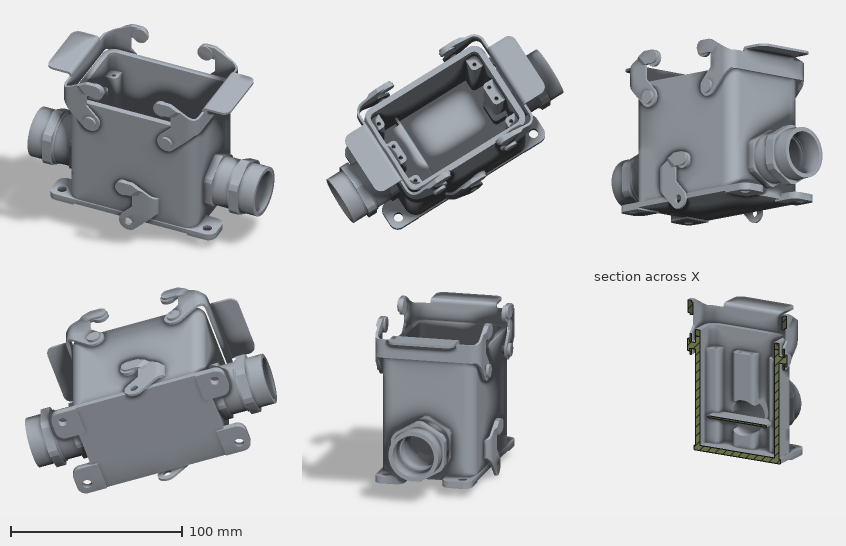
import cadquery as cq
import math

BOX_LENGTH = 81.5
BOX_WIDTH = 56.7
BOX_CORNER_RADIUS = 7.1
WALL = 3.5
BOX_TOP = 70.9
RIM_HEIGHT = 3.9
CAVITY_LENGTH = BOX_LENGTH - 2 * WALL
CAVITY_WIDTH = BOX_WIDTH - 2 * WALL
CAVITY_CORNER_RADIUS = BOX_CORNER_RADIUS - WALL

BASE_TOP = 4.0
BASE_UNDERSIDE = 1.0
BASE_WIDTH = 58.5
FLOOR_TOP = BASE_UNDERSIDE + WALL
FOOT_OUTER_X = 53.0
FOOT_INNER_X = 36.5
FOOT_INNER_Y = 11.5
FOOT_CORNER_RADIUS = 5.2
FOOT_HOLE_DIAMETER = 5.5
FOOT_HOLE_X = 46.7
FOOT_HOLE_Y = 22.9

POST_TOP = 61.9
POST_INNER_X = 30.0
POST_EDGE_RADIUS = 2.5
CORNER_POST_INNER_Y = 16.8
MIDDLE_POST_WIDTH = 14.5
POST_HOLE_DIAMETER = 2.5
POST_HOLE_DEPTH = 8.7
POST_HOLE_X = 33.0
CORNER_HOLE_Y = 20.0
MIDDLE_HOLE_Y = 3.9

GLAND_AXIS_Z = 22.9
GLAND_END_X = 72.5
OUTER_SLEEVE_DIAMETER = 30.0
OUTER_HEX_START_X = 57.1
OUTER_HEX_END_X = 62.6
OUTER_HEX_FLATS = 32.0
OUTER_HEX_CORNERS = 35.1
COLLAR_START_X = 55.8
COLLAR_DIAMETER = 31.0
INNER_SLEEVE_DIAMETER = 29.6
INNER_HEX_END_X = 45.8
INNER_HEX_FLATS = 30.3
INNER_HEX_CORNERS = 33.6
BORE_DIAMETER = 21.8
SEAT_DIAMETER = 24.2
SEAT_START_X = 59.2
MOUTH_DIAMETER = 25.0
MOUTH_START_X = 60.2

LEVER_HALF_WIDTH = 32.0
LEVER_THICKNESS = 1.5
LEVER_BEND_RADIUS = 6.2
LEVER_OUTER_X = 18.8
EYE_RADIUS = 6.0
BAND_BOTTOM_Z = 8.7
BAND_TOP_Z = 19.6
SLOPE_TOP_X = 2.3
SLOPE_BOTTOM_X = 16.8
STEM_LEFT_X = 2.6
HOOK_HEIGHT = 8.0
HOOK_CENTRE_X = -3.6
HOOK_TOP_Z = BAND_TOP_Z + HOOK_HEIGHT
HOOK_RADIUS = HOOK_HEIGHT / 2
PAD_THICKNESS = 1.3
PAD_RAMP_LENGTH = 2.5
PAD_BASE_X = 5.1
CATCH_DIAMETER = 9.5
CATCH_CENTRE_Z = 22.6
CATCH_INNER_Y = 29.9
TAB_TOP_Z = 22.6
TAB_END_X = 34.1
TAB_WIDTH = 39.7
TAB_CORNER_RADIUS = 4.8
TAB_BEND_INNER_RADIUS = 0.9

PIVOT_X = 24.5
PIVOT_Z = 64.7
SPARE_PIVOT_Z = 0.9
RIVET_DIAMETER = 5.0
RIVET_HEAD_DIAMETER = 8.0
RIVET_HEAD_END_Y = 33.71

SIDES = (-1, 1)


def block(x_min, x_max, y_min, y_max, z_min, z_max):
    """Box between the given limits."""
    size = (x_max - x_min, y_max - y_min, z_max - z_min)
    return cq.Workplane("XY").box(*size, centered=False).translate((x_min, y_min, z_min))


def rounded_block(length, width, radius, z_min, z_max):
    """Upright block centred on the Z axis, with rounded vertical edges."""
    blank = block(-length / 2, length / 2, -width / 2, width / 2, z_min, z_max)
    return blank.edges("|Z").fillet(radius)


def x_cylinder(diameter, x_min, x_max):
    """Cylinder on the gland axis."""
    plane = cq.Workplane("YZ", origin=(x_min, 0, GLAND_AXIS_Z))
    return plane.circle(diameter / 2).extrude(x_max - x_min)


def y_cylinder(diameter, x, z, y_min, y_max):
    """Cylinder parallel to Y; the XZ workplane faces -Y, so it is extruded backward."""
    plane = cq.Workplane("XZ", origin=(x, y_min, z))
    return plane.circle(diameter / 2).extrude(y_min - y_max)


def both_x(shape):
    """Shape joined with its mirror image across the YZ plane."""
    return shape.union(shape.mirror("YZ"))


def both_y(shape):
    """Shape joined with its mirror image across the XZ plane."""
    return shape.union(shape.mirror("XZ"))


def lever_side_profile():
    """Side outline of the lever, extruded across its whole width."""
    tangent = EYE_RADIUS * math.sqrt(0.5)
    diagonal_offset = 2 * tangent
    outline = (
        cq.Workplane("XZ", origin=(0, LEVER_HALF_WIDTH, 0))
        .moveTo(HOOK_CENTRE_X, BAND_TOP_Z)
        .lineTo(STEM_LEFT_X, BAND_TOP_Z)
        .lineTo(STEM_LEFT_X, STEM_LEFT_X + diagonal_offset)
        .lineTo(-tangent, tangent)
        .threePointArc((-tangent, -tangent), (tangent, -tangent))
        .lineTo(BAND_BOTTOM_Z + diagonal_offset, BAND_BOTTOM_Z)
        .lineTo(LEVER_OUTER_X, BAND_BOTTOM_Z)
        .lineTo(LEVER_OUTER_X, BAND_TOP_Z)
        .lineTo(SLOPE_BOTTOM_X, BAND_TOP_Z)
        .lineTo(SLOPE_TOP_X, HOOK_TOP_Z)
        .lineTo(HOOK_CENTRE_X, HOOK_TOP_Z)
        .threePointArc(
            (HOOK_CENTRE_X - HOOK_RADIUS, HOOK_TOP_Z - HOOK_RADIUS),
            (HOOK_CENTRE_X, BAND_TOP_Z),
        )
        .close()
    )
    return outline.extrude(2 * LEVER_HALF_WIDTH)


def lever_strap():
    """U-shaped strap of constant thickness, open toward -X, cut to the side outline."""
    open_end_x = HOOK_CENTRE_X - 2 * HOOK_RADIUS
    inner_x = LEVER_OUTER_X - LEVER_THICKNESS
    inner_half_width = LEVER_HALF_WIDTH - LEVER_THICKNESS
    bottom, top = -EYE_RADIUS, HOOK_TOP_Z
    outside = block(open_end_x, LEVER_OUTER_X, -LEVER_HALF_WIDTH, LEVER_HALF_WIDTH, bottom, top)
    outside = outside.edges("|Z and >X").fillet(LEVER_BEND_RADIUS)
    inside = block(open_end_x, inner_x, -inner_half_width, inner_half_width, bottom, top)
    inside = inside.edges("|Z and >X").fillet(LEVER_BEND_RADIUS - LEVER_THICKNESS)
    return outside.cut(inside).intersect(lever_side_profile())


def hook_pad():
    """Outer layer on the +Y hook, ending in a ramp along a 45 degree line."""
    outline = (
        cq.Workplane("XZ", origin=(0, LEVER_HALF_WIDTH, 0))
        .moveTo(HOOK_CENTRE_X, BAND_TOP_Z)
        .lineTo(SLOPE_BOTTOM_X, BAND_TOP_Z)
        .lineTo(SLOPE_TOP_X, HOOK_TOP_Z)
        .lineTo(HOOK_CENTRE_X, HOOK_TOP_Z)
        .threePointArc(
            (HOOK_CENTRE_X - HOOK_RADIUS, HOOK_TOP_Z - HOOK_RADIUS),
            (HOOK_CENTRE_X, BAND_TOP_Z),
        )
        .close()
        .extrude(-PAD_THICKNESS)
    )
    ramp_plane = cq.Plane(
        origin=(PAD_BASE_X, LEVER_HALF_WIDTH, BAND_TOP_Z), xDir=(1, 0, -1), normal=(1, 0, 1)
    )
    reach = SLOPE_BOTTOM_X
    beyond_ramp = (
        cq.Workplane(ramp_plane)
        .polyline([(0, 0), (reach, 0), (reach, PAD_THICKNESS), (-PAD_RAMP_LENGTH, PAD_THICKNESS)])
        .close()
        .extrude(reach, both=True)
    )
    return outline.cut(beyond_ramp)


def lever_tab():
    """Finger tab, joined to the band by a quarter bend."""
    bend_outer_radius = TAB_BEND_INNER_RADIUS + LEVER_THICKNESS
    bend_x = LEVER_OUTER_X + TAB_BEND_INNER_RADIUS
    bend_z = TAB_TOP_Z - bend_outer_radius
    inner_x = LEVER_OUTER_X - LEVER_THICKNESS
    tab_bottom_z = TAB_TOP_Z - LEVER_THICKNESS
    diagonal = math.sqrt(0.5)
    tab = (
        cq.Workplane("XZ", origin=(0, TAB_WIDTH / 2, 0))
        .moveTo(inner_x, BAND_TOP_Z)
        .lineTo(inner_x, bend_z)
        .threePointArc(
            (bend_x - bend_outer_radius * diagonal, bend_z + bend_outer_radius * diagonal),
            (bend_x, TAB_TOP_Z),
        )
        .lineTo(TAB_END_X, TAB_TOP_Z)
        .lineTo(TAB_END_X, tab_bottom_z)
        .lineTo(bend_x, tab_bottom_z)
        .threePointArc(
            (bend_x - TAB_BEND_INNER_RADIUS * diagonal, bend_z + TAB_BEND_INNER_RADIUS * diagonal),
            (LEVER_OUTER_X, bend_z),
        )
        .lineTo(LEVER_OUTER_X, BAND_TOP_Z)
        .close()
        .extrude(TAB_WIDTH)
    )
    return tab.edges("|Z and >X").fillet(TAB_CORNER_RADIUS)


def make_lever():
    """Complete lever with its pivot at the origin."""
    catch = y_cylinder(CATCH_DIAMETER, HOOK_CENTRE_X, CATCH_CENTRE_Z, CATCH_INNER_Y, LEVER_HALF_WIDTH)
    lever = lever_strap().union(both_y(hook_pad())).union(both_y(catch)).union(lever_tab())
    return lever.cut(y_cylinder(RIVET_DIAMETER, 0, 0, -LEVER_HALF_WIDTH, LEVER_HALF_WIDTH))


def place_lever(x, z, turn):
    """Copy of the lever, turned about Z and moved to its pivot."""
    return make_lever().rotate((0, 0, 0), (0, 0, 1), turn).translate((x, 0, z))


def base_plate():
    """Raised middle plate with four drilled feet."""
    middle = block(
        -FOOT_INNER_X, FOOT_INNER_X, -BASE_WIDTH / 2, BASE_WIDTH / 2, BASE_UNDERSIDE, BASE_TOP
    )
    foot = block(FOOT_INNER_X, FOOT_OUTER_X, FOOT_INNER_Y, BASE_WIDTH / 2, 0, BASE_TOP)
    foot = foot.edges("|Z and >X").fillet(FOOT_CORNER_RADIUS)
    hole = cq.Workplane("XY").center(FOOT_HOLE_X, FOOT_HOLE_Y).circle(FOOT_HOLE_DIAMETER / 2)
    foot = foot.cut(hole.extrude(BASE_TOP))
    return middle.union(both_x(both_y(foot)))


def screw_posts():
    """Drilled posts on the +X end wall: one in each corner and a double one between them."""
    wall_x = (CAVITY_LENGTH + WALL) / 2
    wall_y = (CAVITY_WIDTH + WALL) / 2
    half_middle = MIDDLE_POST_WIDTH / 2
    corner = block(POST_INNER_X, wall_x, CORNER_POST_INNER_Y, wall_y, FLOOR_TOP, POST_TOP)
    corner = corner.edges("|Z and <X and <Y").fillet(POST_EDGE_RADIUS)
    middle = block(POST_INNER_X, wall_x, -half_middle, half_middle, FLOOR_TOP, POST_TOP)
    middle = middle.edges("|Z and <X").fillet(POST_EDGE_RADIUS)
    hole_places = [(POST_HOLE_X, side * y) for y in (CORNER_HOLE_Y, MIDDLE_HOLE_Y) for side in SIDES]
    top_plane = cq.Workplane("XY", origin=(0, 0, POST_TOP))
    holes = top_plane.pushPoints(hole_places).circle(POST_HOLE_DIAMETER / 2).extrude(-POST_HOLE_DEPTH)
    return both_y(corner).union(middle).cut(holes)


def hexagon(flats, corners, x_min, x_max):
    """Hexagonal collar with flats toward +Y and -Y, its corners trimmed to a round."""
    corner_to_corner = flats / math.cos(math.pi / 6)
    plane = cq.Workplane("YZ", origin=(x_min, 0, GLAND_AXIS_Z))
    prism = plane.transformed(rotate=(0, 0, 90)).polygon(6, corner_to_corner).extrude(x_max - x_min)
    return prism.intersect(x_cylinder(corners, x_min, x_max))


def gland():
    """Outside shape of the cable gland on the +X end wall."""
    wall_x = BOX_LENGTH / 2
    return (
        hexagon(INNER_HEX_FLATS, INNER_HEX_CORNERS, wall_x, INNER_HEX_END_X)
        .union(x_cylinder(INNER_SLEEVE_DIAMETER, INNER_HEX_END_X, COLLAR_START_X))
        .union(x_cylinder(COLLAR_DIAMETER, COLLAR_START_X, OUTER_HEX_START_X))
        .union(hexagon(OUTER_HEX_FLATS, OUTER_HEX_CORNERS, OUTER_HEX_START_X, OUTER_HEX_END_X))
        .union(x_cylinder(OUTER_SLEEVE_DIAMETER, OUTER_HEX_END_X, GLAND_END_X))
    )


def gland_bore():
    """Stepped bore from the cavity to the mouth of the +X gland, clear of the screw posts."""
    return (
        x_cylinder(BORE_DIAMETER, 0, GLAND_END_X)
        .union(x_cylinder(SEAT_DIAMETER, SEAT_START_X, GLAND_END_X))
        .union(x_cylinder(MOUTH_DIAMETER, MOUTH_START_X, GLAND_END_X))
    )


def rivets():
    """Headed pivot pins that hold the two working levers."""
    wall_y = BOX_WIDTH / 2
    shank = y_cylinder(RIVET_DIAMETER, PIVOT_X, PIVOT_Z, wall_y, LEVER_HALF_WIDTH)
    head = y_cylinder(RIVET_HEAD_DIAMETER, PIVOT_X, PIVOT_Z, LEVER_HALF_WIDTH, RIVET_HEAD_END_Y)
    return both_x(both_y(shank.union(head)))


def make_housing(crossing_lever):
    """Box, base, posts, glands and rivets as one body, slotted where the lever crosses it."""
    box = rounded_block(BOX_LENGTH, BOX_WIDTH, BOX_CORNER_RADIUS, BASE_UNDERSIDE, BOX_TOP)
    cavity = rounded_block(CAVITY_LENGTH, CAVITY_WIDTH, CAVITY_CORNER_RADIUS, FLOOR_TOP, BOX_TOP)
    posts = both_x(screw_posts()).intersect(box)
    body = box.union(base_plate()).cut(cavity).union(posts)
    body = body.union(both_x(gland())).cut(both_x(gland_bore()))
    return body.union(rivets()).cut(crossing_lever)


def make_rim():
    """Ring that continues the walls above the housing."""
    rim_top = BOX_TOP + RIM_HEIGHT
    outside = rounded_block(BOX_LENGTH, BOX_WIDTH, BOX_CORNER_RADIUS, BOX_TOP, rim_top)
    inside = rounded_block(CAVITY_LENGTH, CAVITY_WIDTH, CAVITY_CORNER_RADIUS, BOX_TOP, rim_top)
    return outside.cut(inside)


LEVER_PLACES = [
    (PIVOT_X, PIVOT_Z, 0),
    (-PIVOT_X, PIVOT_Z, 180),
    (0, SPARE_PIVOT_Z, 0),
]
levers = [place_lever(*place) for place in LEVER_PLACES]
spare_lever = levers[-1]
housing = make_housing(spare_lever)
rim = make_rim()

bodies = [housing, rim, *levers]
result = cq.Compound.makeCompound([solid for body in bodies for solid in body.solids().vals()])